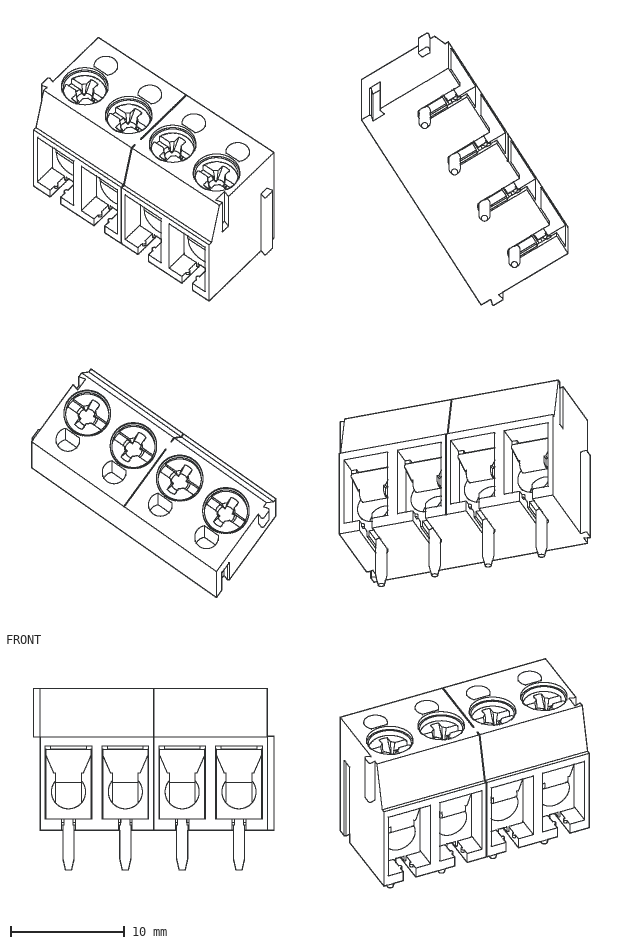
import cadquery as cq
import math


poles = 4
pitch = 5.0
length = poles * pitch
height = 12.5
front_y = -4.0
back_y = 5.0
shoulder_z = 8.2
shoulder_depth = 0.34
slope_run = 1.09
pole_positions = [(i - (poles - 1) / 2) * pitch for i in range(poles)]

seam_width = 0.06
seam_depth = 0.1

dovetail_reach = 0.6
dovetail_neck = 0.8
dovetail_width = 1.16
joint_clearance = 0.02
front_joint_y = -1.72
front_joint_round = 0.17
rear_joint_y = 3.6
rear_joint_round = 0.1
rear_joint_top = 8.3
socket_flare = 0.17

window_width = 4.1
window_bottom = 1.0
window_top = 7.45
window_depth = 2.0
window_back_y = front_y + window_depth
wire_hole_diameter = 3.0
wire_hole_z = 3.4
wire_hole_depth = 3.0
gap_above_clamp = 0.3
gap_depth = 0.6
gap_width = 3.15
clamp_width = 3.95
clamp_side_gap_depth = 1.0

leaf_top = window_top - gap_above_clamp
leaf_bend_z = 6.6
leaf_shoulder_z = 5.05
leaf_lip_z = 4.75
leaf_bottom = 4.2
leaf_top_width = clamp_width
leaf_shoulder_width = 2.6
leaf_tongue_width = 2.26
leaf_proud = 0.33
leaf_lean = 0.22
leaf_thickness = 0.3

screw_y = 0.07
screw_bore_diameter = 4.1
screw_bore_depth = 0.35
screw_diameter = 3.8
screw_head_depth = 0.75
screw_edge_round = 0.27
slot_width = 0.82
slot_depth = 0.85
cross_width = 0.78
cross_top_span = 2.8
cross_bottom_span = 1.5
cross_depth = 1.25
cross_core_top_radius = 0.8
cross_core_bottom_radius = 0.66
cross_tip_depth = 0.4

test_hole_diameter = 2.08
test_hole_y = 3.0
test_hole_flat_y = 2.28
test_hole_ledge_y = 3.82
test_hole_depth = 5.0
test_hole_ledge_drop = 0.5

pin_diameter = 1.0
pin_length = 3.5
pin_tip_diameter = 0.55
pin_tip_length = 1.0
floor_slot_width = 1.2
bump_radius = 0.2
bump_y = -3.2
bump_bottom = 0.72
narrow_slot_width = 0.83
narrow_slot_bottom = 0.47


def block(x_range, y_range, z_range):
    """Box given by its limits along each axis."""
    size = [high - low for low, high in (x_range, y_range, z_range)]
    corner = (x_range[0], y_range[0], z_range[0])
    return cq.Workplane("XY").box(*size, centered=False).translate(corner)


def centered_block(x, width, y_range, z_range):
    """Box centred on x along the row of poles."""
    return block((x - width / 2, x + width / 2), y_range, z_range)


def cylinder(x, y, diameter, bottom, top):
    return cq.Workplane("XY", origin=(x, y, bottom)).circle(diameter / 2).extrude(top - bottom)


def housing_section(inset=0.0):
    """Side outline of the housing, moved inward by inset at the front and top."""
    front = front_y + inset
    top = height - inset
    slope_foot_y = front + shoulder_depth
    return (
        cq.Workplane("YZ", origin=(-length / 2, 0, 0))
        .moveTo(back_y, 0)
        .lineTo(front, 0)
        .lineTo(front, shoulder_z - inset)
        .lineTo(slope_foot_y, shoulder_z - inset)
        .lineTo(slope_foot_y + slope_run, top)
        .lineTo(back_y, top)
        .close()
        .extrude(length)
    )


def dovetail(face_x, y, z_range, corner_round, clearance=0.0):
    """Dovetail bar that widens toward -X from the plane x = face_x."""
    half_neck = dovetail_neck / 2 + clearance
    half_width = dovetail_width / 2 + clearance
    reach = dovetail_reach + clearance
    bar = (
        cq.Workplane("XY", origin=(face_x, y, z_range[0]))
        .moveTo(0, -half_neck)
        .lineTo(-reach, -half_width)
        .lineTo(-reach, half_width)
        .lineTo(0, half_neck)
        .close()
        .extrude(z_range[1] - z_range[0])
    )
    if corner_round:
        bar = bar.edges("|Z").edges("<X").fillet(corner_round)
    return bar


def socket_mouth(face_x, y, z_range):
    """Flared lead-in of a socket that narrows toward +X from the plane x = face_x."""
    half_neck = dovetail_neck / 2
    half_mouth = half_neck + socket_flare
    return (
        cq.Workplane("XY", origin=(face_x, y, z_range[0]))
        .moveTo(0, -half_mouth)
        .lineTo(socket_flare, -half_neck)
        .lineTo(socket_flare, half_neck)
        .lineTo(0, half_mouth)
        .close()
        .extrude(z_range[1] - z_range[0])
    )


def add_joints(body):
    """Tab and socket on each end face, so that blocks can be joined in a row."""
    left_x = -length / 2
    right_x = length / 2
    front_z = (shoulder_z, height)
    rear_z = (0, rear_joint_top)
    front_tab = dovetail(left_x, front_joint_y, front_z, front_joint_round)
    front_socket = dovetail(right_x, front_joint_y, front_z, 0, joint_clearance)
    rear_tab = dovetail(left_x, rear_joint_y, rear_z, rear_joint_round).mirror("YZ")
    rear_socket = dovetail(right_x, rear_joint_y, rear_z, 0, joint_clearance).mirror("YZ")
    rear_socket = rear_socket.union(socket_mouth(left_x, rear_joint_y, rear_z))
    return body.union(front_tab).union(rear_tab).cut(front_socket).cut(rear_socket)


def seam_cutter():
    """Shallow groove over the front and top, left out across the neck of the joint."""
    slice_block = centered_block(0, seam_width, (front_y, back_y), (0, height))
    groove = slice_block.cut(housing_section(seam_depth))
    neck = (front_joint_y - dovetail_neck / 2, front_joint_y + dovetail_neck / 2)
    bridge = centered_block(0, seam_width, neck, (height - seam_depth, height))
    return groove.cut(bridge)


def window_cutter(x):
    """Wire opening, the wire hole behind it and the gaps above and beside the clamp."""
    opening = centered_block(x, window_width, (front_y, window_back_y), (window_bottom, window_top))
    gap = centered_block(x, gap_width, (front_y, window_back_y + gap_depth), (leaf_top, window_top))
    side_gap_y = (window_back_y, window_back_y + clamp_side_gap_depth)
    side_gap_z = (window_bottom, leaf_top)
    clamp_gap = centered_block(x, window_width, side_gap_y, side_gap_z)
    clamp_gap = clamp_gap.cut(centered_block(x, clamp_width, side_gap_y, side_gap_z))
    wire_hole = (
        cq.Workplane("XZ", origin=(x, window_back_y, wire_hole_z))
        .circle(wire_hole_diameter / 2)
        .extrude(-wire_hole_depth)
    )
    return opening.union(gap).union(clamp_gap).union(wire_hole)


def pressure_leaf(x):
    """Leaf that leans forward as it goes down, narrows to a tongue and curls back under."""
    bend_y = window_back_y - leaf_proud
    lip_y = bend_y - leaf_lean
    lip_radius = leaf_lip_z - leaf_bottom
    bend_drop = leaf_top - leaf_bend_z
    diagonal = math.sqrt(0.5)
    back_of_leaf = window_back_y + leaf_thickness
    side = (
        cq.Workplane("YZ", origin=(x - leaf_top_width / 2, 0, 0))
        .moveTo(back_of_leaf, leaf_top)
        .lineTo(bend_y + bend_drop, leaf_top)
        .threePointArc(
            (bend_y + bend_drop * (1 - diagonal), leaf_bend_z + bend_drop * diagonal),
            (bend_y, leaf_bend_z),
        )
        .lineTo(lip_y, leaf_lip_z)
        .threePointArc(
            (lip_y + lip_radius * (1 - diagonal), leaf_lip_z - lip_radius * diagonal),
            (lip_y + lip_radius, leaf_bottom),
        )
        .lineTo(back_of_leaf, leaf_bottom)
        .close()
        .extrude(leaf_top_width)
    )
    half_top = leaf_top_width / 2
    half_shoulder = leaf_shoulder_width / 2
    half_tongue = leaf_tongue_width / 2
    right_edge = [
        (half_top, leaf_top),
        (half_top, leaf_bend_z),
        (half_shoulder, leaf_shoulder_z),
        (half_tongue, leaf_shoulder_z),
        (half_tongue, leaf_bottom),
    ]
    left_edge = [(-across, up) for across, up in reversed(right_edge)]
    front = (
        cq.Workplane("XZ", origin=(x, front_y, 0))
        .polyline(right_edge + left_edge)
        .close()
        .extrude(front_y - back_y)
    )
    return side.intersect(front)


def wire_stop(x):
    """Strip as wide as the tongue that stands on the floor of the wire hole."""
    hole_floor_y = window_back_y + wire_hole_depth
    strip_z = (wire_hole_z - wire_hole_diameter / 2, wire_hole_z + wire_hole_diameter / 2)
    return centered_block(x, leaf_tongue_width, (hole_floor_y - leaf_thickness, hole_floor_y), strip_z)


def downward_cone(top_radius, bottom_radius):
    """Round recess on the Z axis that tapers downward from z = 0 and ends in a conical tip."""
    return (
        cq.Workplane("XZ")
        .moveTo(0, 0)
        .lineTo(top_radius, 0)
        .lineTo(bottom_radius, -cross_depth)
        .lineTo(0, -cross_depth - cross_tip_depth)
        .close()
        .revolve(360, (0, 0, 0), (0, 1, 0))
    )


def cross_recess(x, head_z):
    """Crossed wings with tapered ends around a smaller tapered core."""
    half_span = cross_top_span / 2
    z_range = (-cross_depth - cross_tip_depth, 0)
    wing = centered_block(0, cross_width, (-half_span, half_span), z_range)
    cross = wing.union(wing.rotate((0, 0, 0), (0, 0, 1), 90))
    cross = cross.intersect(downward_cone(half_span, cross_bottom_span / 2))
    core = downward_cone(cross_core_top_radius, cross_core_bottom_radius)
    return cross.union(core).translate((x, screw_y, head_z))


def screw_cutter(x):
    """Stepped bore down to the rounded screw head, with the driver slot and cross recess."""
    head_z = height - screw_head_depth
    edge_z = head_z - screw_edge_round
    head = (
        cylinder(x, screw_y, screw_diameter, edge_z - screw_edge_round, head_z)
        .faces(">Z")
        .edges()
        .fillet(screw_edge_round)
    )
    wide_bore = cylinder(x, screw_y, screw_bore_diameter, height - screw_bore_depth, height)
    narrow_bore = cylinder(x, screw_y, screw_diameter, edge_z, height)
    slot_y = (screw_y - slot_width / 2, screw_y + slot_width / 2)
    slot_z = (head_z - slot_depth, head_z)
    slot = centered_block(x, screw_diameter, slot_y, slot_z)
    slot = slot.intersect(cylinder(x, screw_y, screw_diameter, *slot_z))
    return narrow_bore.cut(head).union(wide_bore).union(slot).union(cross_recess(x, head_z))


def test_hole_cutter(x):
    floor_z = height - test_hole_depth
    lower_z = floor_z - test_hole_ledge_drop
    hole = cylinder(x, test_hole_y, test_hole_diameter, lower_z, height)
    keep = centered_block(x, test_hole_diameter, (test_hole_flat_y, back_y), (lower_z, height))
    ledge = centered_block(x, test_hole_diameter, (test_hole_ledge_y, back_y), (lower_z, floor_z))
    return hole.intersect(keep).cut(ledge)


def floor_slot_cutter(x):
    """Slot through the floor to the pin, narrower under the clamp, with two bumps on its walls."""
    slot = centered_block(x, floor_slot_width, (front_y, 0), (0, window_bottom))
    slot = slot.union(cylinder(x, 0, floor_slot_width, 0, window_bottom))
    under_clamp_y = (window_back_y, floor_slot_width / 2)
    narrow_z = (narrow_slot_bottom, window_bottom)
    ledges = centered_block(x, floor_slot_width, under_clamp_y, narrow_z)
    ledges = ledges.cut(centered_block(x, narrow_slot_width, under_clamp_y, narrow_z))
    slot = slot.cut(ledges)
    for side in (-1, 1):
        wall_x = x + side * floor_slot_width / 2
        slot = slot.cut(cylinder(wall_x, bump_y, 2 * bump_radius, bump_bottom, window_bottom))
    return slot


def pin(x):
    """Round pin with a tapered tip, rising to the clamp above the floor."""
    radius = pin_diameter / 2
    tip_radius = pin_tip_diameter / 2
    return (
        cq.Workplane("XZ")
        .moveTo(0, window_bottom)
        .lineTo(radius, window_bottom)
        .lineTo(radius, -pin_length + pin_tip_length)
        .lineTo(tip_radius, -pin_length)
        .lineTo(0, -pin_length)
        .close()
        .revolve(360, (0, 0, 0), (0, 1, 0))
        .translate((x, 0, 0))
    )


def build():
    body = add_joints(housing_section()).cut(seam_cutter())
    for x in pole_positions:
        body = body.cut(window_cutter(x)).cut(floor_slot_cutter(x))
        body = body.cut(screw_cutter(x)).cut(test_hole_cutter(x))
        body = body.union(pressure_leaf(x)).union(wire_stop(x)).union(pin(x))
    return body


result = build()